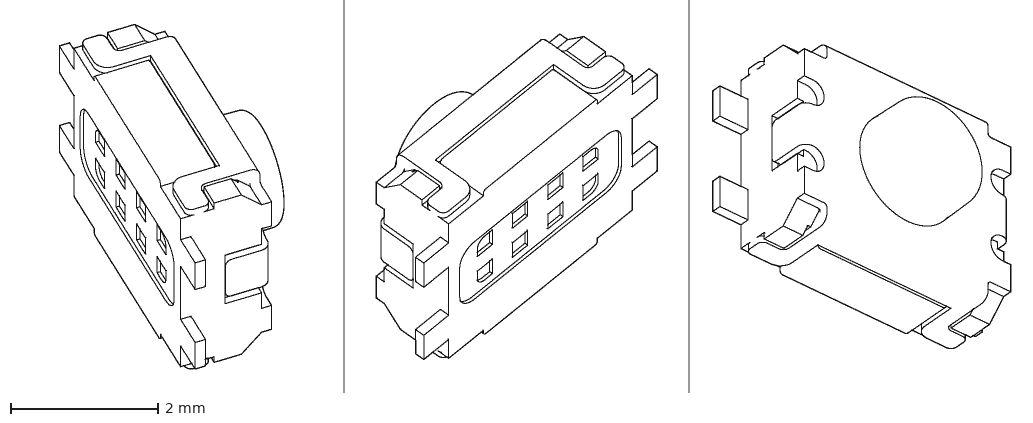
import cadquery as cq
import math

body_width = 3.655
body_height = 3.0
body_depth = 1.35
total_depth = 2.0
half_width = body_width / 2
half_height = body_height / 2

cover_thickness = 0.15
strap_thickness = 0.105
strap_half_width = 1.428
strap_inner_half_width = 1.175
strap_web_y = 0.855
arm_bottom_y = 0.098
arm_top_y = 0.445
arm_radius = 0.098
leg_outer_radius = 0.21
plate_half_height = 1.2
clearance = 0.05

tab_half_height = 0.345
tab_thickness = 0.11
tab_tip_y = 0.665
tab_tip_radius = 0.095
relief_outer_z = 0.75
relief_radius = (relief_outer_z - tab_half_height) / 2
pocket_half_height = 0.455
pocket_bottom_y = 0.66

core_top_y = body_depth - cover_thickness
core_half_height = half_height - strap_thickness

pad_gap = 0.04
pad_half_width = strap_inner_half_width - pad_gap
pad_depth = strap_web_y - clearance

lead_span = 4.65
lead_height = 0.5
lead_thickness = 0.155
lead_z = 0.75

button_base_radius = 0.85
button_top_radius = 0.83
button_fillet = 0.098

recess_width = 3.22
recess_height = 1.19
recess_radius = 0.298
recess_depth = 0.05
window_size = 0.3
window_corner_radius = 0.15
window_depth = 0.05
window_pitch_x = 0.7
window_pitch_z = 0.605
window_columns = 4


def box_between(x0, x1, y0, y1, z0, z1):
    return cq.Workplane("XY").box(x1 - x0, y1 - y0, z1 - z0, centered=False).translate((x0, y0, z0))


def mirrored(solid, plane):
    return solid.union(solid.mirror(plane))


def make_core():
    """Plastic body with raised corner blocks, chamfered beside the cover straps."""
    core = box_between(-half_width, half_width, 0, core_top_y, -core_half_height, core_half_height)
    block = box_between(
        strap_half_width + clearance, half_width,
        arm_top_y + clearance, core_top_y,
        0, half_height,
    )
    core = core.union(mirrored(mirrored(block, "YZ"), "XY"))

    chamfer_size = half_height - plate_half_height
    chamfer = (
        cq.Workplane("YZ", origin=(strap_half_width, 0, 0))
        .moveTo(core_top_y, plate_half_height)
        .lineTo(core_top_y, half_height)
        .lineTo(core_top_y - chamfer_size, half_height)
        .close()
        .extrude(half_width - strap_half_width)
    )
    return core.cut(mirrored(mirrored(chamfer, "YZ"), "XY"))


def make_pads():
    """Raised pads inside the cover straps, level with their outer faces."""
    pads = box_between(-pad_half_width, pad_half_width, 0, pad_depth, -half_height, half_height)
    return pads.edges("|Y").fillet(clearance)


def make_strap():
    """Side of the cover: a web with two legs ending in outward arms."""
    half_outline = (
        cq.Workplane("XY", origin=(0, 0, core_half_height))
        .moveTo(0, strap_web_y)
        .lineTo(strap_inner_half_width, strap_web_y)
        .lineTo(strap_inner_half_width, arm_bottom_y + leg_outer_radius)
        .radiusArc((strap_inner_half_width + leg_outer_radius, arm_bottom_y), -leg_outer_radius)
        .lineTo(half_width - arm_radius, arm_bottom_y)
        .radiusArc((half_width, arm_bottom_y + arm_radius), -arm_radius)
        .lineTo(half_width, arm_top_y - arm_radius)
        .radiusArc((half_width - arm_radius, arm_top_y), -arm_radius)
        .lineTo(strap_half_width + arm_radius, arm_top_y)
        .radiusArc((strap_half_width, arm_top_y + arm_radius), arm_radius)
        .lineTo(strap_half_width, core_top_y)
        .lineTo(0, core_top_y)
        .close()
        .extrude(strap_thickness)
    )
    return mirrored(half_outline, "YZ")


def make_cover_plate():
    """Flat of the cover, narrowed at its corners and rounded over the long sides."""
    centre = box_between(
        -strap_half_width, strap_half_width, strap_web_y, body_depth, -half_height, half_height
    ).edges(">Y and |X").fillet(cover_thickness)
    ends = box_between(
        -half_width, half_width, core_top_y, body_depth, -plate_half_height, plate_half_height
    )
    plate = centre.union(ends)
    corner = (
        cq.Workplane("XZ", origin=(0, body_depth, 0))
        .moveTo(strap_half_width, plate_half_height)
        .lineTo(strap_half_width + clearance, plate_half_height)
        .radiusArc((strap_half_width, plate_half_height + clearance), clearance)
        .close()
        .extrude(cover_thickness)
    )
    plate = plate.union(mirrored(mirrored(corner, "YZ"), "XY"))

    relief_z = tab_half_height + relief_radius
    slot_length = 2 * (cover_thickness + relief_radius)
    reliefs = (
        cq.Workplane("XZ", origin=(0, body_depth, 0))
        .pushPoints([(x, z) for x in (-half_width, half_width) for z in (-relief_z, relief_z)])
        .slot2D(slot_length, 2 * relief_radius)
        .extrude(cover_thickness)
    )
    return plate.cut(reliefs)


def make_end_pocket():
    """Pocket in the +X end that takes the cover tab."""
    return box_between(
        half_width - tab_thickness, half_width,
        pocket_bottom_y, core_top_y,
        -pocket_half_height, pocket_half_height,
    )


def make_end_tab():
    """Cover tab bent down over the +X end."""
    tab = box_between(
        half_width - tab_thickness, half_width,
        tab_tip_y, core_top_y,
        -tab_half_height, tab_half_height,
    )
    return tab.edges("<Y and |X").fillet(tab_tip_radius)


def make_bend_cut():
    """Material outside the rounded bend between the cover plate and the +X tab."""
    corner = box_between(
        half_width - cover_thickness, half_width,
        core_top_y, body_depth,
        -tab_half_height, tab_half_height,
    )
    bend = (
        cq.Workplane("XY", origin=(half_width - cover_thickness, core_top_y, -tab_half_height))
        .circle(cover_thickness)
        .extrude(2 * tab_half_height)
    )
    return corner.cut(bend)


def make_leads():
    """Flat solder leads crossing the mounting face, level with it."""
    upper_lead = box_between(
        -lead_span / 2, lead_span / 2,
        0, lead_thickness,
        lead_z - lead_height / 2, lead_z + lead_height / 2,
    )
    return mirrored(upper_lead, "XY")


def make_button():
    """Slightly tapered round button with a rounded rim."""
    button_height = total_depth - core_top_y
    draft = math.degrees(math.atan((button_base_radius - button_top_radius) / button_height))
    return (
        cq.Workplane("XZ", origin=(0, core_top_y, 0))
        .circle(button_base_radius)
        .extrude(-button_height, taper=draft)
        .faces(">Y").edges().fillet(button_fillet)
    )


def make_face_recess():
    """Shallow rounded recess with two rows of square windows sunk into its floor."""
    recess = (
        cq.Workplane("XZ")
        .rect(recess_width, recess_height)
        .extrude(-recess_depth)
        .edges("|Y").fillet(recess_radius)
    )
    windows = (
        cq.Workplane("XZ")
        .rarray(window_pitch_x, window_pitch_z, window_columns, 2)
        .rect(window_size, window_size)
        .extrude(-(recess_depth + window_depth))
    )
    outline_width = (window_columns - 1) * window_pitch_x + window_size
    outline = (
        cq.Workplane("XZ")
        .rect(outline_width, window_pitch_z + window_size)
        .extrude(-(recess_depth + window_depth))
        .edges("|Y").fillet(window_corner_radius)
    )
    return recess.union(windows.intersect(outline))


result = make_core().cut(mirrored(make_end_pocket(), "YZ"))
result = result.union(make_pads())
result = result.union(mirrored(make_strap(), "XY"))
result = result.union(make_cover_plate())
result = result.union(mirrored(make_end_tab(), "YZ"))
result = result.cut(mirrored(make_bend_cut(), "YZ"))
result = result.union(make_leads())
result = result.union(make_button())
result = result.cut(make_face_recess())